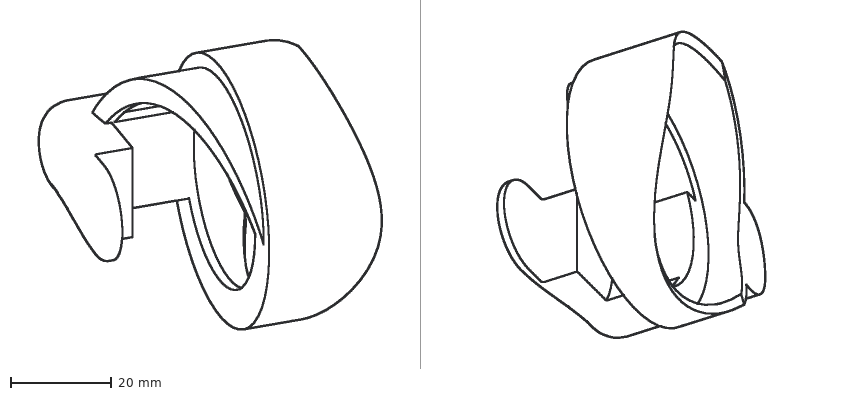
import math

import cadquery as cq

wall_thickness = 2.0
splice_overrun = 1.0

collar_radius = 28.0
bore_radius = collar_radius - wall_thickness
lip_hole_radius = 20.0
blank_back = 30.0

lever_radius = 10.0
lever_length = 27.0
lever_front = -26.5
block_height = 10.0
block_end_x = -5.5
corner_fillet = 0.5
post_edge_radius = 6.0
tip_edge_radius = 1.0

ramp_radius = 25.0
ramp_inner_radius = 15.0
ramp_drop_per_degree = 0.1187
ramp_sweep = 180.0
ramp_band_taper = 0.1

valley_angle = 178.0
valley_floor = 8.75
valley_slope_per_degree = 0.13
valley_rounding = 12.0
valley_half_sweep = 110.0
valley_inner_radius = 15.0
valley_outer_radius = 45.0

saddle_tube_radius = 35.2
saddle_bend_radius = 47.0
saddle_lowest = cq.Vector(-0.74, 8.65, 1.32)
saddle_heading = 86.6
saddle_tilt = 9.1

curve_step = 10.0


def cylinder_y(radius, y_start, y_end):
    """Cylinder around the Y axis."""
    axis = cq.Vector(0, 1, 0)
    return cq.Workplane(obj=cq.Solid.makeCylinder(radius, y_end - y_start, cq.Vector(0, y_start, 0), axis))


def around_y(radius, angle, y):
    """Point at a radius and angle around the Y axis, the angle running from +X to +Z."""
    turn = math.radians(angle)
    return cq.Vector(radius * math.cos(turn), y, radius * math.sin(turn))


def swept_section(corners, start_angle, end_angle):
    """Solid swept around the Y axis; each corner is a radius and a function giving Y from the angle."""
    steps = round((end_angle - start_angle) / curve_step)
    angles = [start_angle + (end_angle - start_angle) * i / steps for i in range(steps + 1)]
    paths = [[around_y(radius, angle, height(angle)) for angle in angles] for radius, height in corners]
    edges = [cq.Edge.makeSpline(path) for path in paths]
    faces = [cq.Face.makeRuledSurface(edges[i - 1], edges[i]) for i in range(len(edges))]
    for end in (0, -1):
        outline = cq.Wire.makePolygon([path[end] for path in paths], close=True)
        faces.append(cq.Face.makeFromWires(outline))
    solid = cq.Solid.makeSolid(cq.Shell.makeShell(faces))
    return cq.Workplane(obj=solid.fix())


def make_lever():
    """Bar with a front edge rounded widely at the post and narrowing to the tip."""
    bar = (
        cq.Workplane("XZ", origin=(-lever_length / 2, lever_front, 0))
        .slot2D(lever_length + 2 * lever_radius, 2 * lever_radius)
        .extrude(lever_front - blank_back)
    )
    rounding = cq.occ_impl.shapes.BRepFilletAPI_MakeFillet(bar.val().wrapped)
    for edge in bar.faces("<Y").edges().vals():
        radii = []
        for point in (edge.startPoint(), edge.endPoint()):
            at_post = point.x < -lever_length / 2
            radii.append(post_edge_radius if at_post else tip_edge_radius)
        rounding.Add(radii[0], radii[1], edge.wrapped)
    bar = cq.Workplane(obj=cq.Shape.cast(rounding.Shape()))

    plate_back = lever_front + wall_thickness
    clearance = (
        cq.Workplane("XY", origin=(block_end_x, plate_back, -collar_radius))
        .rect(2 * collar_radius, blank_back - plate_back + splice_overrun, centered=False)
        .extrude(2 * collar_radius)
        .edges("<X and <Y")
        .fillet(corner_fillet)
    )
    hollow = cylinder_y(lip_hole_radius, lever_front + block_height, blank_back + splice_overrun)
    return bar.cut(clearance).cut(hollow)


def ramp_bottom(angle):
    return -ramp_drop_per_degree * angle


def ramp_floor(angle):
    return ramp_bottom(angle) + wall_thickness


def ramp_top(angle):
    """Level inside the collar's bore, where the bore trims the ramp."""
    return wall_thickness + splice_overrun


def make_ramp():
    """Outside of the ramp, its outer face tapering slightly beside the floor."""
    corners = [
        (ramp_inner_radius, ramp_top),
        (ramp_radius, ramp_top),
        (ramp_radius, ramp_floor),
        (ramp_radius - ramp_band_taper, ramp_bottom),
        (ramp_inner_radius, ramp_bottom),
    ]
    hole = cylinder_y(lip_hole_radius, lever_front, blank_back)
    return swept_section(corners, 0, ramp_sweep).cut(hole)


def make_ramp_cavity():
    """Hollow that leaves an outer wall and a helical floor."""
    cavity_radius = ramp_radius - wall_thickness
    corners = [
        (ramp_inner_radius, ramp_top),
        (cavity_radius, ramp_top),
        (cavity_radius, ramp_floor),
        (ramp_inner_radius, ramp_floor),
    ]
    return swept_section(corners, 0, ramp_sweep)


def make_valley_cutter():
    def floor(angle):
        offset = angle - valley_angle
        rise = math.hypot(offset, valley_rounding) - valley_rounding
        return valley_floor + valley_slope_per_degree * rise

    def top(angle):
        return 2 * blank_back

    corners = [
        (valley_inner_radius, floor),
        (valley_outer_radius, floor),
        (valley_outer_radius, top),
        (valley_inner_radius, top),
    ]
    return swept_section(corners, valley_angle - valley_half_sweep, valley_angle + valley_half_sweep)


def make_saddle_cutter():
    heading = math.radians(saddle_heading)
    tilt = math.radians(saddle_tilt)
    level = cq.Vector(math.cos(heading), 0, math.sin(heading))
    upward = cq.Vector(0, 1, 0)
    outward = upward * math.cos(tilt) - level * math.sin(tilt)
    centre = saddle_lowest + outward * (saddle_bend_radius + saddle_tube_radius)
    bend_axis = level.cross(upward)
    return cq.Workplane(obj=cq.Solid.makeTorus(saddle_bend_radius, saddle_tube_radius, centre, bend_axis))


def make_collar():
    blank = cylinder_y(collar_radius, 0, blank_back)
    hole = cylinder_y(lip_hole_radius, -splice_overrun, blank_back + splice_overrun)
    return blank.cut(hole)


bore = cylinder_y(bore_radius, wall_thickness, blank_back + splice_overrun)
body = make_collar().union(make_ramp()).cut(make_ramp_cavity())
body = body.union(make_lever()).cut(bore)
body = body.cut(make_valley_cutter()).cut(make_saddle_cutter())
result = body.solids()